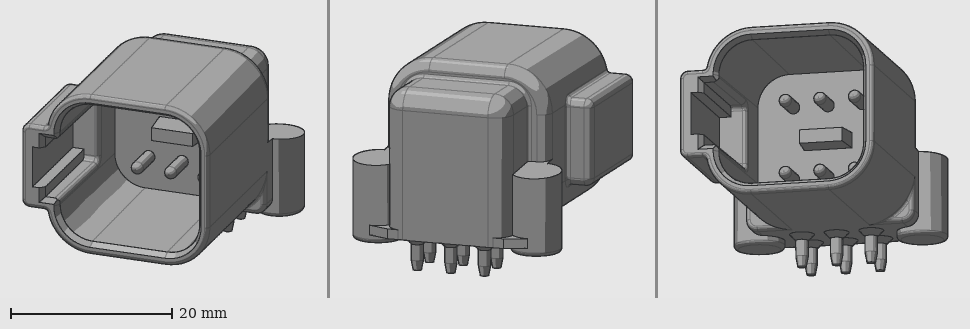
import cadquery as cq
import math


SHELL_WIDTH = 21.55
SHELL_HEIGHT = 21.28
SHELL_DEPTH = 21.87
SHELL_CORNER = 5.8
SHELL_REAR_ROUND = 1.5
RIM_ROUND = 0.5
MID_Z = SHELL_HEIGHT / 2
SIDE_X = SHELL_WIDTH / 2

WALL = 1.48
CAVITY_DEPTH = 18.95
CAVITY_FLOOR_INSET = 0.3
LIP_CHAMFER = 0.5
LIP_CHAMFER_DEPTH = 0.85

KEY_OUTER_X = -14.08
KEY_HEIGHT = 11.07
KEY_DEPTH = 15.27
KEY_ROUND = 1.0
KEY_ROOT_ROUND = 0.5
KEY_OVERLAP = 4.85
KEYWAY_DEPTH = 13.9
KEYWAY_X = -11.13
KEYWAY_HEIGHT = 8.0
KEYWAY_ROUND = 0.62
KEYWAY_FLARE = 0.62
CHANNEL_X = -12.63
CHANNEL_HEIGHT = 5.33

SEAM_MARGIN = 0.3

TOWER_WIDTH = 16.22
TOWER_TOP = 19.03
TOWER_REAR = 29.6
TOWER_FRONT = SHELL_DEPTH - SHELL_REAR_ROUND
TOWER_ROUND = 2.5
TOWER_ROOT_ROUND = 0.45

BASE_FRONT = 19.65
BASE_CORNER = 1.48
BASE_FRONT_ROUND = 0.6
BASE_SEAM_ROUND = 0.35
SLOPE_TOP_Z = 9.68
SLOPE_ANGLE = 5.0
POST_DIAMETER = 6.33
POST_X = 10.45
POST_Y = 25.25
POST_BOTTOM = -1.07
POST_ROUND = 0.5

WEB_THICKNESS = 1.25
WEB_REAR = 29.5
WEB_CORNER_X = 7.63

TONGUE_WIDTH = 6.1
TONGUE_HEIGHT = 1.95
TONGUE_LENGTH = 3.55
TONGUE_END_WIDTH = 5.45
TONGUE_END_HEIGHT = 1.72

PIN_DIAMETER = 1.57
PIN_RADIUS = PIN_DIAMETER / 2
PIN_PITCH = 4.45
PIN_COLUMNS = [-PIN_PITCH, 0, PIN_PITCH]
PIN_TIP_Y = 14.2
PIN_NOSE_ROUND = 0.77
ROW_SPACING = 9.17
TAIL_PITCH = 4.45
FRONT_TAIL_Y = 23.1
TAIL_END_Z = -4.1
TAIL_TAPER_LENGTH = 1.3
TAIL_END_DIAMETER = 1.07
PIN_ROWS = [
    (MID_Z - ROW_SPACING / 2, FRONT_TAIL_Y),
    (MID_Z + ROW_SPACING / 2, FRONT_TAIL_Y + TAIL_PITCH),
]

STANDOFF_DIAMETER = 3.1
STANDOFF_HEIGHT = (STANDOFF_DIAMETER - PIN_DIAMETER) / 2


def block(x0, x1, y0, y1, z0, z1):
    """Box between the given limits."""
    return cq.Workplane("XY").box(x1 - x0, y1 - y0, z1 - z0, centered=False).translate((x0, y0, z0))


def edges_within(x_range, y_range, z_range):
    """Selector of the edges whose centres lie inside the given ranges."""
    low, high = zip(x_range, y_range, z_range)
    return cq.selectors.BoxSelector(low, high)


def facing_plane(y, z=MID_Z):
    """Sketch plane at depth y whose extrusions run toward +Y."""
    return cq.Plane(origin=(0, y, z), xDir=(-1, 0, 0), normal=(0, 1, 0))


def shell_outline(inset, y):
    """Rounded-square shell outline, moved inward by inset, as a solid sketch at depth y."""
    sketch = (
        cq.Sketch()
        .rect(SHELL_WIDTH - 2 * inset, SHELL_HEIGHT - 2 * inset)
        .vertices()
        .fillet(SHELL_CORNER - inset)
    )
    return cq.Workplane(facing_plane(y)).placeSketch(sketch)


def tapered_box(y0, size0, y1, size1, x_shift0=0.0, x_shift1=0.0):
    """Loft between two (width, height) rectangles at y0 and y1, centred on mid height."""
    return (
        cq.Workplane(facing_plane(y0))
        .center(-x_shift0, 0)
        .rect(*size0)
        .workplane(offset=y1 - y0)
        .center(x_shift0 - x_shift1, 0)
        .rect(*size1)
        .loft(ruled=True)
    )


def make_shell():
    """Solid shell with the key housing on its side and a rounded front rim."""
    shell = shell_outline(0, 0).extrude(SHELL_DEPTH)
    shell = shell.faces(">Y").edges().fillet(SHELL_REAR_ROUND)
    key_half = KEY_HEIGHT / 2
    key = block(KEY_OUTER_X, -SIDE_X + KEY_OVERLAP, 0, KEY_DEPTH, MID_Z - key_half, MID_Z + key_half)
    key = key.edges("(<X and (|Y or |Z)) or (|X and >Y)").edges("not(<Y)").fillet(KEY_ROUND)
    shell = shell.union(key)
    root_seam = edges_within(
        (-SIDE_X - SEAM_MARGIN, -SIDE_X + SEAM_MARGIN),
        (SEAM_MARGIN, KEY_DEPTH + SEAM_MARGIN),
        (MID_Z - key_half - SEAM_MARGIN, MID_Z + key_half + SEAM_MARGIN),
    )
    shell = shell.edges(root_seam).fillet(KEY_ROOT_ROUND)
    return shell.faces("<Y").edges().fillet(RIM_ROUND)


def make_tower():
    """Rear tower, rounded at its top and rear edges."""
    tower = block(-TOWER_WIDTH / 2, TOWER_WIDTH / 2, TOWER_FRONT, TOWER_REAR, 0, TOWER_TOP)
    return tower.edges("(|Y and >Z) or (|X and >Y and >Z) or (|Z and >Y)").fillet(TOWER_ROUND)


def make_base():
    """Base block, mounting posts and webs under the common slope."""
    base = block(-SIDE_X, SIDE_X, BASE_FRONT, POST_Y, 0, SHELL_HEIGHT / 2)
    base = base.edges("|Y and <Z").fillet(BASE_CORNER)
    base = base.faces("<Y").edges("not(>Z)").fillet(BASE_FRONT_ROUND)
    for side in (-1, 1):
        post = (
            cq.Workplane("XY", origin=(side * POST_X, POST_Y, POST_BOTTOM))
            .circle(POST_DIAMETER / 2)
            .extrude(MID_Z - POST_BOTTOM)
            .faces("<Z")
            .edges()
            .fillet(POST_ROUND)
        )
        base = base.union(post)
    slope_length = TOWER_REAR - BASE_FRONT
    slope_drop = slope_length * math.tan(math.radians(SLOPE_ANGLE))
    above_slope = (
        cq.Workplane("YZ")
        .moveTo(BASE_FRONT, SLOPE_TOP_Z)
        .lineTo(TOWER_REAR, SLOPE_TOP_Z - slope_drop)
        .lineTo(TOWER_REAR, SHELL_HEIGHT)
        .lineTo(BASE_FRONT, SHELL_HEIGHT)
        .close()
        .extrude(SHELL_WIDTH, both=True)
    )
    base = base.cut(above_slope)
    post_rear = POST_Y + POST_DIAMETER / 2
    web = (
        cq.Workplane("XY")
        .polyline([
            (-POST_X, POST_Y),
            (-POST_X, post_rear),
            (-WEB_CORNER_X, WEB_REAR),
            (WEB_CORNER_X, WEB_REAR),
            (POST_X, post_rear),
            (POST_X, POST_Y),
        ])
        .close()
        .extrude(WEB_THICKNESS)
    )
    return base.union(web)


def make_cavity():
    """Mating cavity with drafted walls."""
    draft = math.degrees(math.atan(CAVITY_FLOOR_INSET / CAVITY_DEPTH))
    return shell_outline(WALL, 0).extrude(CAVITY_DEPTH, taper=draft)


def make_lip():
    """Chamfer at the mouth of the cavity."""
    lip_angle = math.degrees(math.atan(LIP_CHAMFER / LIP_CHAMFER_DEPTH))
    return shell_outline(WALL - LIP_CHAMFER, 0).extrude(LIP_CHAMFER_DEPTH, taper=lip_angle)


def make_keyway():
    """Straight keyway with rounded rear corners."""
    half = KEYWAY_HEIGHT / 2
    slot = block(KEYWAY_X, 0, 0, KEYWAY_DEPTH, MID_Z - half, MID_Z + half)
    return slot.edges("|X and >Y").fillet(KEYWAY_ROUND)


def make_keyway_mouth():
    """Flare at the front of the keyway."""
    width = -KEYWAY_X
    mouth_width = width + KEYWAY_FLARE
    return tapered_box(
        0, (mouth_width, KEYWAY_HEIGHT + 2 * KEYWAY_FLARE),
        KEYWAY_FLARE, (width, KEYWAY_HEIGHT),
        -mouth_width / 2, -width / 2,
    )


def make_channel():
    """Deeper channel along the middle of the keyway."""
    half = CHANNEL_HEIGHT / 2
    return block(CHANNEL_X, 0, 0, KEYWAY_DEPTH, MID_Z - half, MID_Z + half)


def make_tongue():
    """Tapered tongue standing on the cavity floor."""
    return tapered_box(
        CAVITY_DEPTH - TONGUE_LENGTH, (TONGUE_END_WIDTH, TONGUE_END_HEIGHT),
        CAVITY_DEPTH, (TONGUE_WIDTH, TONGUE_HEIGHT),
    )


def make_standoff(x, y):
    """Cone under the base, narrowing to the tail it surrounds."""
    cone = cq.Solid.makeCone(
        STANDOFF_DIAMETER / 2, PIN_RADIUS, STANDOFF_HEIGHT, cq.Vector(x, y, 0), cq.Vector(0, 0, -1)
    )
    return cq.Workplane(obj=cone)


def make_pin(x, height, tail_y):
    """Right-angle contact: round-nosed mating pin toward -Y and tapered board tail toward -Z."""
    mating = (
        cq.Workplane(facing_plane(PIN_TIP_Y, height))
        .center(-x, 0)
        .circle(PIN_RADIUS)
        .extrude(tail_y - PIN_TIP_Y)
        .faces("<Y")
        .edges()
        .fillet(PIN_NOSE_ROUND)
    )
    elbow = cq.Workplane("XY").sphere(PIN_RADIUS).translate((x, tail_y, height))
    taper_top = TAIL_END_Z + TAIL_TAPER_LENGTH
    tail = (
        cq.Workplane("XY", origin=(x, tail_y, taper_top))
        .circle(PIN_RADIUS)
        .extrude(height - taper_top)
    )
    taper = cq.Solid.makeCone(
        TAIL_END_DIAMETER / 2, PIN_RADIUS, TAIL_TAPER_LENGTH, cq.Vector(x, tail_y, TAIL_END_Z)
    )
    return mating.union(elbow).union(tail).union(cq.Workplane(obj=taper))


def add_tower(housing):
    """Join the tower to the shell with a fillet around its root, above the slope."""
    housing = housing.union(make_tower())
    reach = TOWER_WIDTH / 2 + SEAM_MARGIN
    root_seam = edges_within(
        (-reach, reach),
        (SHELL_DEPTH - SEAM_MARGIN, SHELL_DEPTH + SEAM_MARGIN),
        (MID_Z - SEAM_MARGIN, TOWER_TOP + SEAM_MARGIN),
    )
    return housing.edges(root_seam).fillet(TOWER_ROOT_ROUND)


def add_base(housing):
    """Join the base to the shell with a fillet along the +X shell corner."""
    housing = housing.union(make_base())
    corner_seam = edges_within(
        (SIDE_X - SHELL_CORNER, SIDE_X - BASE_CORNER),
        (BASE_FRONT - SEAM_MARGIN, BASE_FRONT + SEAM_MARGIN),
        (BASE_CORNER, SHELL_CORNER),
    )
    return housing.edges(corner_seam).fillet(BASE_SEAM_ROUND)


def hollow_out(housing):
    """Cut the cavity and the keyway, rounding the edges where the keyway opens into the cavity."""
    housing = housing.cut(make_cavity()).cut(make_keyway())
    cavity_side = -SIDE_X + WALL
    half = KEYWAY_HEIGHT / 2
    opening = edges_within(
        (cavity_side - SEAM_MARGIN, cavity_side + SEAM_MARGIN),
        (SEAM_MARGIN, KEYWAY_DEPTH + SEAM_MARGIN),
        (MID_Z - half - SEAM_MARGIN, MID_Z + half + SEAM_MARGIN),
    )
    housing = housing.edges(opening).fillet(KEYWAY_ROUND)
    return housing.cut(make_lip()).cut(make_keyway_mouth()).cut(make_channel())


def make_housing():
    """Complete housing before the contact holes are cut."""
    housing = hollow_out(add_base(add_tower(make_shell())))
    housing = housing.union(make_tongue())
    for x in PIN_COLUMNS:
        for _, tail_y in PIN_ROWS:
            housing = housing.union(make_standoff(x, tail_y))
    return housing


pins = [make_pin(x, height, tail_y) for height, tail_y in PIN_ROWS for x in PIN_COLUMNS]

moulded_pin = pins[0]
loose_pins = pins[1:]
housing = make_housing()
for pin in loose_pins:
    housing = housing.cut(pin)
housing = housing.union(moulded_pin)

result = cq.Compound.makeCompound([housing.val(), *[pin.val() for pin in loose_pins]])